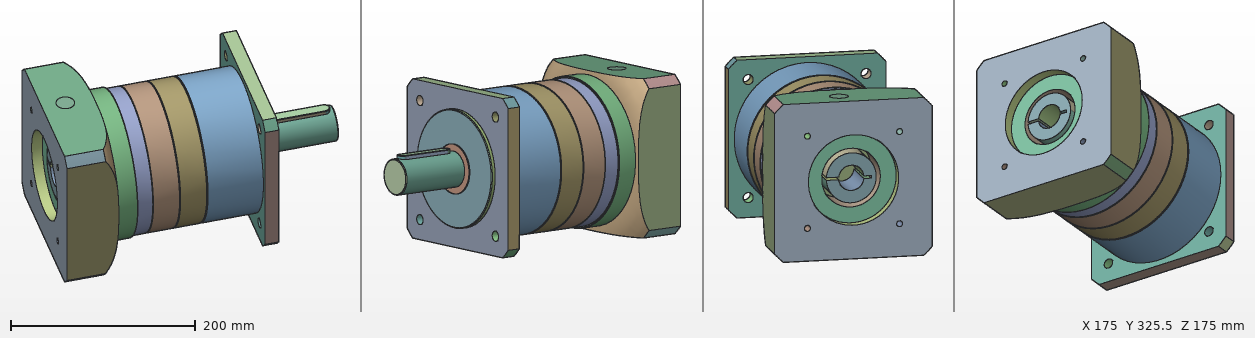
import cadquery as cq
import math


motor_face_y = 0.0
block_back_y = 58.5
collar_back_y = 81.5
adapter_back_y = 98.5
ring_length = 30.5
ring_count = 2
housing_front_y = adapter_back_y + ring_count * ring_length
flange_front_y = 223.0
flange_back_y = 238.5
pilot_back_y = 243.5
seal_back_y = 244.8
shaft_end_y = 325.5

square_side = 175.0
corner_radius = 117.2

body_radius = 81.0
collar_radius = 83.0
pilot_radius = 65.0
seal_radius = 27.5
shaft_radius = 20.0
edge_chamfer = 1.0
joint_chamfer = 0.5
housing_chamfer = 1.0

dome_radius = 46.5

key_width = 12.0
key_length = 70.3
key_end_gap = 4.5
key_top_z = 23.5
key_chamfer = 0.5

flange_hole_offset = 65.5
flange_hole_radius = 5.5

motor_screw_offset = 51.0
motor_screw_radius = 3.3
motor_screw_depth = 20.0
drill_tip_angle = 118.0
pilot_recess_radius = 50.0
pilot_recess_depth = 12.0
hub_bore_radius = 32.5

hub_front_y = 10.7
hub_radius = 27.7
hub_hole_radius = 14.0
slit_width = 3.0
slit_end_x = 22.0

plug_radius = 10.0
plug_depth = 19.5
plug_x = -10.0
plug_y = 26.5


def cylinder(radius, start_y, end_y):
    """Round bar on the Y axis between two stations."""
    return cq.Workplane("XZ", origin=(0, start_y, 0)).circle(radius).extrude(start_y - end_y)


def square_plate(start_y, end_y):
    """Square plate whose corners are turned to the corner radius."""
    plate = cq.Workplane("XZ", origin=(0, start_y, 0)).rect(square_side, square_side)
    return plate.extrude(start_y - end_y).intersect(cylinder(corner_radius, start_y, end_y))


def corner_points(offset):
    """Four points of a square pattern around the axis."""
    return [(x, z) for x in (-offset, offset) for z in (-offset, offset)]


def make_key():
    """Round-ended key rising from the middle of the shaft, chamfered on top."""
    key_center_y = shaft_end_y - key_end_gap - key_length / 2
    key = cq.Workplane("XY", origin=(0, key_center_y, 0)).slot2D(key_length, key_width, 90)
    return key.extrude(key_top_z).faces(">Z").edges().chamfer(key_chamfer)


def make_output_housing():
    """Housing barrel, mounting flange, pilot, seal collar and keyed output shaft."""
    barrel = cylinder(body_radius, housing_front_y, flange_front_y)
    barrel = barrel.faces("<Y").edges().chamfer(housing_chamfer)
    pilot = cylinder(pilot_radius, flange_back_y, pilot_back_y)
    pilot = pilot.faces(">Y").edges().chamfer(edge_chamfer)
    seal = cylinder(seal_radius, pilot_back_y, seal_back_y)
    shaft = cylinder(shaft_radius, seal_back_y, shaft_end_y)
    shaft = shaft.faces(">Y").edges().chamfer(edge_chamfer)

    flange = square_plate(flange_front_y, flange_back_y)
    holes = cq.Workplane("XZ", origin=(0, flange_front_y, 0)).pushPoints(corner_points(flange_hole_offset))
    flange = flange.cut(holes.circle(flange_hole_radius).extrude(flange_front_y - flange_back_y))

    return barrel.union(flange).union(pilot).union(seal).union(shaft).union(make_key())


def make_ring(start_y):
    """Ring gear section, chamfered at both ends."""
    ring = cylinder(body_radius, start_y, start_y + ring_length)
    return ring.faces("<Y or >Y").edges().chamfer(joint_chamfer)


def dome_y(radius):
    """Station of the domed back of the motor block at a distance from the axis."""
    return block_back_y - dome_radius + math.sqrt(dome_radius**2 - (radius - collar_radius) ** 2)


def dome_envelope():
    """Turned envelope of the motor block: the back curves away from the collar to the corners."""
    middle_radius = (collar_radius + corner_radius) / 2
    profile = (
        cq.Workplane("XY")
        .moveTo(0, motor_face_y)
        .lineTo(corner_radius, motor_face_y)
        .lineTo(corner_radius, dome_y(corner_radius))
        .threePointArc((middle_radius, dome_y(middle_radius)), (collar_radius, block_back_y))
        .lineTo(0, block_back_y)
        .close()
    )
    return profile.revolve(360, (0, 0, 0), (0, 1, 0))


def motor_screw_hole():
    """Blind hole on the axis with a conical drill tip."""
    tip_depth = motor_screw_radius / math.tan(math.radians(drill_tip_angle / 2))
    profile = cq.Workplane("XY").polyline([
        (0, motor_face_y),
        (motor_screw_radius, motor_face_y),
        (motor_screw_radius, motor_face_y + motor_screw_depth),
        (0, motor_face_y + motor_screw_depth + tip_depth),
    ]).close()
    return profile.revolve(360, (0, 0, 0), (0, 1, 0))


def make_plug():
    """Plug set flush in the top of the motor block."""
    top = cq.Workplane("XY", origin=(plug_x, plug_y, square_side / 2))
    return top.circle(plug_radius).extrude(-plug_depth)


def make_adapter():
    """Motor block with its collar and neck, recessed for the motor, the hub and the plug."""
    block = square_plate(motor_face_y, block_back_y).intersect(dome_envelope())
    collar = cylinder(collar_radius, block_back_y, collar_back_y)
    collar = collar.faces(">Y").edges().chamfer(joint_chamfer)
    neck = cylinder(body_radius, collar_back_y, adapter_back_y)
    adapter = block.union(collar).union(neck)

    adapter = adapter.cut(cylinder(pilot_recess_radius, motor_face_y, motor_face_y + pilot_recess_depth))
    adapter = adapter.cut(cylinder(hub_bore_radius, motor_face_y, block_back_y))
    for x, z in corner_points(motor_screw_offset):
        adapter = adapter.cut(motor_screw_hole().translate((x, 0, z)))
    return adapter.cut(make_plug())


def make_hub():
    """Clamping hub standing on the bore floor, slit through one side and partly into the other."""
    hub = cylinder(hub_radius, hub_front_y, block_back_y)
    hub = hub.cut(cylinder(hub_hole_radius, hub_front_y, block_back_y))
    slit_length = hub_radius + slit_end_x
    slit = cq.Workplane("XY").box(slit_length, block_back_y - hub_front_y, slit_width)
    slit_center = ((slit_end_x - hub_radius) / 2, (hub_front_y + block_back_y) / 2, 0)
    return hub.cut(slit.translate(slit_center))


output_housing = make_output_housing()
rings = [make_ring(adapter_back_y + index * ring_length) for index in range(ring_count)]
adapter = make_adapter()
hub = make_hub()
plug = make_plug()

result = cq.Compound.makeCompound([
    output_housing.val(),
    *[ring.val() for ring in rings],
    adapter.val(),
    hub.val(),
    plug.val(),
])